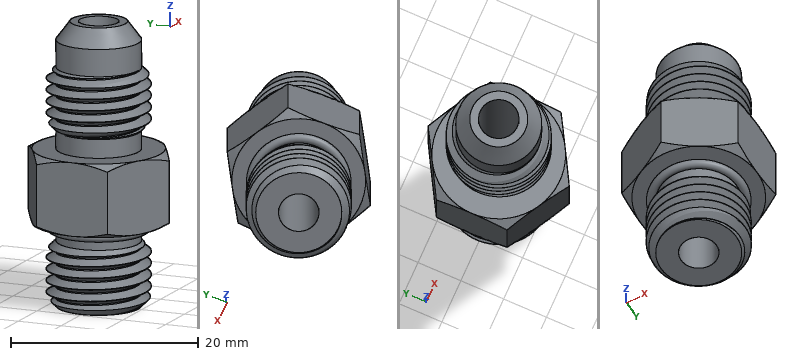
import cadquery as cq
import math

TOTAL_HEIGHT = 31.25
LOWER_THREAD_TOP = 7.15
HEX_BOTTOM = 9.2
HEX_TOP = 17.28
UPPER_THREAD_BOTTOM = 19.35
UPPER_THREAD_TOP = 26.25
NOSE_HEIGHT = 2.0

STEM_RADIUS = 4.6
NOSE_TIP_RADIUS = 3.1
BORE_RADIUS = 2.15

HEX_ACROSS_FLATS = 14.28
HEX_ACROSS_CORNERS = HEX_ACROSS_FLATS / math.cos(math.radians(30))
HEX_CHAMFER_ANGLE = 30.0

THREAD_RADIUS = 5.62
TEN_TURN_ADVANCE = 12.7
THREAD_PITCH = TEN_TURN_ADVANCE / 10
CREST_FLAT = 0.05
FOOT_GAP = 0.05
FOOT_SINK = 0.05
FOOT_RADIUS = STEM_RADIUS - FOOT_SINK
ENVELOPE_CLEARANCE = 0.15
ENVELOPE_SEAM_ANGLE = 90.0
UPPER_CREST_HEIGHT = 24.6
LOWER_CREST_HEIGHT = 3.62

RING_SECTION_RADIUS = 0.5
RING_CENTRE_RADIUS = STEM_RADIUS + RING_SECTION_RADIUS


def make_stem():
    """Plain round stem with a conical nose at the top."""
    return (
        cq.Workplane("XZ")
        .moveTo(0, 0)
        .lineTo(STEM_RADIUS, 0)
        .lineTo(STEM_RADIUS, TOTAL_HEIGHT - NOSE_HEIGHT)
        .lineTo(NOSE_TIP_RADIUS, TOTAL_HEIGHT)
        .lineTo(0, TOTAL_HEIGHT)
        .close()
        .revolve(360, (0, 0), (0, 1))
    )


def make_hexagon():
    """Hexagon with corners on the Y axis, its corners turned off at both ends."""
    height = HEX_TOP - HEX_BOTTOM
    flat_radius = HEX_ACROSS_FLATS / 2
    corner_radius = HEX_ACROSS_CORNERS / 2
    corner_drop = (corner_radius - flat_radius) * math.tan(math.radians(HEX_CHAMFER_ANGLE))
    prism = (
        cq.Workplane("XY", origin=(0, 0, HEX_BOTTOM))
        .transformed(rotate=(0, 0, 90))
        .polygon(6, HEX_ACROSS_CORNERS)
        .extrude(height)
    )
    turned_envelope = (
        cq.Workplane("XZ")
        .moveTo(0, HEX_BOTTOM)
        .lineTo(flat_radius, HEX_BOTTOM)
        .lineTo(corner_radius, HEX_BOTTOM + corner_drop)
        .lineTo(corner_radius, HEX_TOP - corner_drop)
        .lineTo(flat_radius, HEX_TOP)
        .lineTo(0, HEX_TOP)
        .close()
        .revolve(360, (0, 0), (0, 1))
    )
    return prism.intersect(turned_envelope)


def make_helical_ridge(start, turns):
    """Solid ridge of trapezoidal section, bounded by ruled faces between helices."""
    half_foot = (THREAD_PITCH - FOOT_GAP) / 2
    half_crest = CREST_FLAT / 2
    section = [
        (FOOT_RADIUS, -half_foot),
        (THREAD_RADIUS, -half_crest),
        (THREAD_RADIUS, half_crest),
        (FOOT_RADIUS, half_foot),
    ]
    edges = [
        cq.Wire.makeHelix(THREAD_PITCH, turns * THREAD_PITCH, radius, center=cq.Vector(0, 0, start + offset))
        for radius, offset in section
    ]
    faces = []
    for lower_edge, upper_edge in zip(edges, edges[1:] + edges[:1]):
        faces.extend(cq.Face.makeRuledSurface(lower_edge, upper_edge).Faces())
    for end in (0, 1):
        outline = cq.Wire.makePolygon([edge.positionAt(end) for edge in edges], close=True)
        faces.append(cq.Face.makeFromWires(outline))
    return cq.Workplane(cq.Solid.makeSolid(cq.Shell.makeShell(faces)))


def make_thread(bottom, top, crest_height):
    """Helical ridge trimmed by a round envelope chamfered at 45 degrees at both ends."""
    envelope_radius = THREAD_RADIUS + ENVELOPE_CLEARANCE
    envelope = (
        cq.Workplane("XY", origin=(0, 0, bottom))
        .circle(envelope_radius)
        .extrude(top - bottom)
        .faces("<Z or >Z")
        .chamfer(envelope_radius - STEM_RADIUS)
        .rotate((0, 0, 0), (0, 0, 1), ENVELOPE_SEAM_ANGLE)
    )

    start = crest_height - math.ceil((crest_height - bottom) / THREAD_PITCH + 1) * THREAD_PITCH
    turns = math.ceil((top - start) / THREAD_PITCH) + 1
    return envelope.intersect(make_helical_ridge(start, turns))


def make_fitting():
    """Stem, hexagon and both threads as one body with a through bore."""
    lower_thread = make_thread(0, LOWER_THREAD_TOP, LOWER_CREST_HEIGHT)
    upper_thread = make_thread(UPPER_THREAD_BOTTOM, UPPER_THREAD_TOP, UPPER_CREST_HEIGHT)
    bore = cq.Workplane("XY").circle(BORE_RADIUS).extrude(TOTAL_HEIGHT)
    return make_stem().union(make_hexagon()).union(lower_thread).union(upper_thread).cut(bore)


def make_o_ring():
    """Round-section ring directly below the hexagon."""
    ring_height = HEX_BOTTOM - RING_SECTION_RADIUS
    return (
        cq.Workplane("XZ")
        .center(RING_CENTRE_RADIUS, ring_height)
        .circle(RING_SECTION_RADIUS)
        .revolve(360, (-RING_CENTRE_RADIUS, 0), (-RING_CENTRE_RADIUS, 1))
    )


fitting = make_fitting()
o_ring = make_o_ring()

result = cq.Compound.makeCompound([fitting.val(), o_ring.val()])